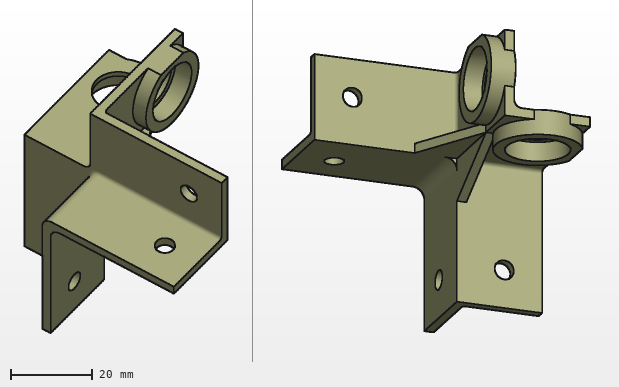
import cadquery as cq
import math

TOTAL_LENGTH = 60.0
TOTAL_DEPTH = 56.5
FLANGE = TOTAL_LENGTH / 3
LONG_REACH = TOTAL_LENGTH - FLANGE
THICKNESS = FLANGE / 8
REAR_REACH = 35.45

OUTER_BEND = 3.0
INNER_BEND = 3.0
REAR_BEND = 2.0
ARC_INSET = 1 - math.sqrt(0.5)
ROOT_FILLET = 1.0
MARGIN = 0.05

SCREW_DIAMETER = 5.0
SCREW_TO_END = FLANGE / 2

BORE_DIAMETER = 13.0
POCKET_DIAMETER = 16.2
LIP_DEPTH = 1.5
BOSS_RADIUS = 11.05
BOSS_HEIGHT = 6.5
BOSS_Y = TOTAL_DEPTH - FLANGE - BOSS_RADIUS

RIB_WIDTH = 15.0
RIB_REACH = 27.0


def box(x_range, y_range, z_range):
    """Box between the given limits."""
    (x0, x1), (y0, y1), (z0, z1) = x_range, y_range, z_range
    return cq.Workplane("XY").box(x1 - x0, y1 - y0, z1 - z0, centered=False).translate((x0, y0, z0))


def along_y(profile, start, end):
    """Extrude an XZ profile between two Y positions."""
    return profile.extrude(start - end).translate((0, start, 0))


def with_twin(shape):
    """Join a shape to its reflection in the plane X + Z = 0."""
    twin = shape.mirror("XY").rotate((0, 0, 0), (0, 1, 0), 90)
    return shape.union(twin)


def front_angle():
    """Bent angle in front of the wall, running back through the wall."""
    arc_mid = OUTER_BEND * ARC_INSET
    inner_edge = THICKNESS + INNER_BEND
    inner_mid = THICKNESS + INNER_BEND * ARC_INSET
    profile = (
        cq.Workplane("XZ")
        .moveTo(0, -LONG_REACH)
        .lineTo(0, -OUTER_BEND)
        .threePointArc((arc_mid, -arc_mid), (OUTER_BEND, 0))
        .lineTo(LONG_REACH, 0)
        .lineTo(LONG_REACH, -THICKNESS)
        .lineTo(inner_edge, -THICKNESS)
        .threePointArc((inner_mid, -inner_mid), (THICKNESS, -inner_edge))
        .lineTo(THICKNESS, -LONG_REACH)
        .close()
    )
    return along_y(profile, -FLANGE, THICKNESS)


def wall_and_rear_plates():
    """Stepped front wall and the two plates running back from it."""
    upper_wall = box((0, LONG_REACH), (0, THICKNESS), (-THICKNESS, FLANGE))
    upright = box((0, THICKNESS), (0, REAR_REACH), (-THICKNESS, FLANGE))
    rear_corner = cq.selectors.BoxSelector(
        (THICKNESS - MARGIN, THICKNESS - MARGIN, -THICKNESS),
        (THICKNESS + MARGIN, THICKNESS + MARGIN, FLANGE),
    )
    half = upper_wall.union(upright).edges(rear_corner).fillet(ROOT_FILLET)
    arc_mid = REAR_BEND * ARC_INSET
    bend = (
        cq.Workplane("XZ")
        .lineTo(0, REAR_BEND)
        .threePointArc((-arc_mid, arc_mid), (-REAR_BEND, 0))
        .close()
    )
    return with_twin(half).union(along_y(bend, 0, REAR_REACH))


def fillet_front_root(body):
    """Round the corner where the front angle leaves the wall."""
    outer_corner = cq.selectors.BoxSelector(
        (-MARGIN, -MARGIN, -LONG_REACH - MARGIN), (LONG_REACH + MARGIN, MARGIN, MARGIN)
    )
    return body.edges(outer_corner).fillet(ROOT_FILLET)


def boss():
    """Round boss on the upright rear plate, cut off flush with the plate top."""
    disc = (
        cq.Workplane("YZ")
        .center(BOSS_Y, FLANGE / 2)
        .circle(BOSS_RADIUS)
        .extrude(BOSS_HEIGHT)
    )
    keep = box((0, BOSS_HEIGHT), (0, BOSS_Y + BOSS_RADIUS), (-THICKNESS, FLANGE))
    return disc.intersect(keep)


def rib():
    """Triangular web level with the horizontal plates, bracing the wall."""
    return (
        cq.Workplane("XY")
        .polyline([(0, 0), (RIB_WIDTH, 0), (0, RIB_REACH)])
        .close()
        .extrude(-THICKNESS)
    )


def bore():
    """Large stepped hole through the upright plate and its boss."""
    axis = cq.Workplane("YZ").center(BOSS_Y, FLANGE / 2)
    opening = axis.circle(BORE_DIAMETER / 2).extrude(BOSS_HEIGHT)
    pocket = axis.workplane(offset=LIP_DEPTH).circle(POCKET_DIAMETER / 2).extrude(BOSS_HEIGHT - LIP_DEPTH)
    return opening.union(pocket)


def screw_holes():
    """Screw holes in the upper wall and the horizontal front plate."""
    x = LONG_REACH - SCREW_TO_END
    radius = SCREW_DIAMETER / 2
    wall_hole = cq.Workplane("XZ").center(x, FLANGE / 2).circle(radius).extrude(-THICKNESS)
    plate_hole = cq.Workplane("XY").center(x, -FLANGE / 2).circle(radius).extrude(-THICKNESS)
    return wall_hole.union(plate_hole)


body = fillet_front_root(wall_and_rear_plates().union(front_angle()))
body = body.union(with_twin(boss().union(rib())))
result = body.cut(with_twin(bore())).cut(with_twin(screw_holes()))